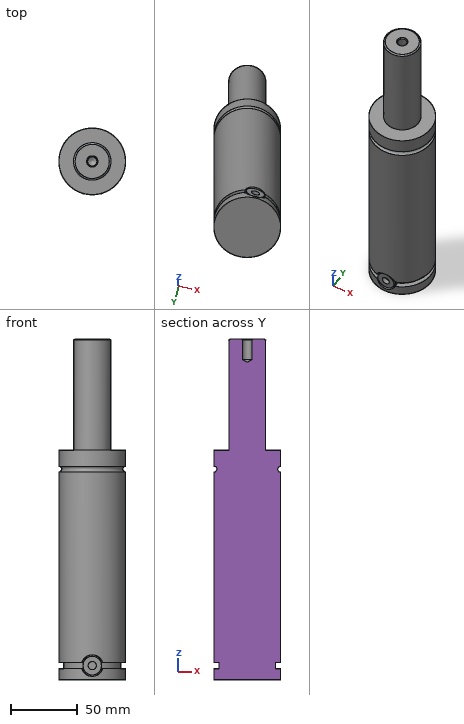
import cadquery as cq
import math

total_height = 255.0
body_radius = 50.0 / 2
body_height = 171.9

rod_radius = 28.0 / 2
rod_chamfer_width = 1.3
rod_chamfer_height = 0.8

rod_hole_diameter = 7.0
rod_hole_mouth_diameter = 8.5
rod_hole_depth = 15.3
drill_point_angle = 118

foot_groove_bottom = 8.5
foot_groove_top = 13.0
foot_groove_radius = 21.5

head_groove_bottom = 155.5
head_groove_top = 159.6
head_groove_depth = 2.0

port_height = 10.7
port_recess_diameter = 16.0
port_plug_diameter = 14.0
port_face_y = -24.2
port_recess_depth = 3.8
port_hole_diameter = 6.0
port_hole_depth = 3.8


def make_cylinder_and_rod():
    """Revolve the half profile of the body, its two grooves and the rod."""
    head_groove_middle = (head_groove_bottom + head_groove_top) / 2
    profile = (
        cq.Workplane("XZ")
        .lineTo(body_radius, 0)
        .lineTo(body_radius, foot_groove_bottom)
        .lineTo(foot_groove_radius, foot_groove_bottom)
        .lineTo(foot_groove_radius, foot_groove_top)
        .lineTo(body_radius, foot_groove_top)
        .lineTo(body_radius, head_groove_bottom)
        .threePointArc(
            (body_radius - head_groove_depth, head_groove_middle),
            (body_radius, head_groove_top),
        )
        .lineTo(body_radius, body_height)
        .lineTo(rod_radius, body_height)
        .lineTo(rod_radius, total_height - rod_chamfer_height)
        .lineTo(rod_radius - rod_chamfer_width, total_height)
        .lineTo(0, total_height)
        .close()
    )
    return profile.revolve(360, (0, 0, 0), (0, 1, 0))


def make_rod_hole():
    """Revolve a drilled hole with a countersunk mouth and a pointed bottom."""
    hole_radius = rod_hole_diameter / 2
    mouth_radius = rod_hole_mouth_diameter / 2
    countersink_depth = mouth_radius - hole_radius
    hole_bottom = total_height - rod_hole_depth
    point_length = hole_radius / math.tan(math.radians(drill_point_angle / 2))
    profile = (
        cq.Workplane("XZ")
        .moveTo(0, total_height)
        .lineTo(mouth_radius, total_height)
        .lineTo(hole_radius, total_height - countersink_depth)
        .lineTo(hole_radius, hole_bottom)
        .lineTo(0, hole_bottom - point_length)
        .close()
    )
    return profile.revolve(360, (0, 0, 0), (0, 1, 0))


def port_cylinder(diameter, outer_y, inner_y):
    """Cylinder along the port axis between two Y positions."""
    return (
        cq.Workplane("XZ", origin=(0, inner_y, port_height))
        .circle(diameter / 2)
        .extrude(inner_y - outer_y)
    )


def add_port(part):
    """Cut the port recess, seat a slightly smaller plug in it and drill the plug."""
    recess_floor_y = port_face_y + port_recess_depth
    recess = port_cylinder(port_recess_diameter, -body_radius, recess_floor_y)
    plug = port_cylinder(port_plug_diameter, port_face_y, recess_floor_y)
    hole = port_cylinder(port_hole_diameter, port_face_y, port_face_y + port_hole_depth)
    return part.cut(recess).union(plug).cut(hole)


result = add_port(make_cylinder_and_rod().cut(make_rod_hole()))